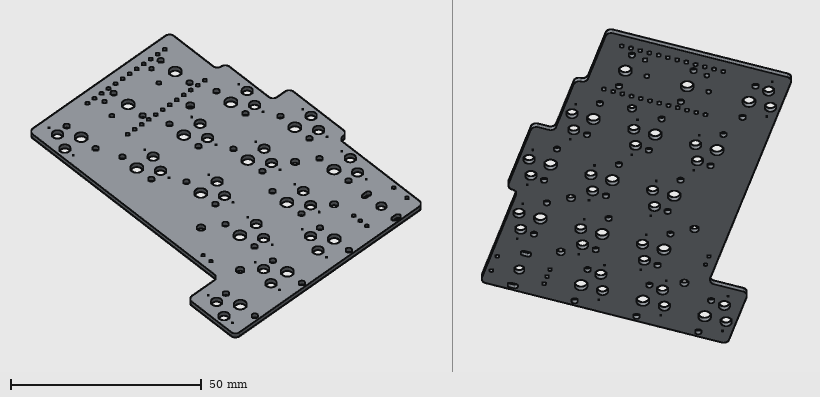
import cadquery as cq
import math


THICKNESS = 1.6
CORNER_RADIUS = 1.5
TOLERANCE = 1e-6

COLUMNS = 5
ROWS = 3
COLUMN_PITCH = 18.0
ROW_PITCH = 17.0
HALF_ROW = ROW_PITCH / 2
NARROW_MARGIN = 7.0
WIDE_MARGIN = 11.0
COLUMN_X = [WIDE_MARGIN + i * COLUMN_PITCH for i in range(COLUMNS)]
BOTTOM_ROW_Y = [19.5, 22.5, 28.5, 25.5, HALF_ROW]
TOP_ROW_Y = [y + (ROWS - 1) * ROW_PITCH for y in BOTTOM_ROW_Y]
ENCODER_CENTRE = (COLUMN_X[-1], BOTTOM_ROW_Y[-1] + ROWS * ROW_PITCH)
TOP_ROW_Y[-1] = ENCODER_CENTRE[1]

STEM_DIAMETER = 3.43
POST_DIAMETER = 1.7
POST_OFFSET = 5.5
PIN_OFFSETS = [(0, 5.9), (5.0, 3.8)]
SOCKET_PIN_DIAMETER = 3.0
SOLDER_PIN_DIAMETER = 1.27
VIA_DIAMETER = 0.3
VIA_OFFSETS = [(-3.275, 5.95), (8.275, 3.75)]

ENCODER_CENTRE_DIAMETER = 2.7
ENCODER_SLOT_OFFSET = 5.6
ENCODER_SLOT_WIDTH = 1.5
ENCODER_SLOT_LENGTH = 2.8
ENCODER_PIN_DIAMETER = 1.0
ENCODER_PIN_PITCH = 2.5
ENCODER_SWITCH_PIN_Y = 6.88
ENCODER_SIGNAL_PIN_Y = -7.62

HEADER_PIN_DIAMETER = 1.09
HEADER_PIN_PITCH = 2.54
HEADER_PINS_PER_ROW = 12
HEADER_ROW_SPACING = 15.24
HEADER_CENTRE = (COLUMN_X[0], 43.0)

RESET_PIN_DIAMETER = 0.9
RESET_PIN_SPACING = 2.9
RESET_CENTRE = (COLUMN_X[3], 13.6)

MOUNT_DIAMETER = 2.2
LEFT_MOUNT_INSET = 6.5
MOUNT_POINTS = [
    (COLUMN_X[1] - LEFT_MOUNT_INSET, TOP_ROW_Y[1] - HALF_ROW),
    (COLUMN_X[2] + COLUMN_PITCH / 2, TOP_ROW_Y[2] - HALF_ROW),
    (COLUMN_X[2] + COLUMN_PITCH / 2, BOTTOM_ROW_Y[2] - HALF_ROW),
    (COLUMN_X[3] + COLUMN_PITCH / 2, TOP_ROW_Y[3] - HALF_ROW),
    (COLUMN_X[3] + COLUMN_PITCH / 2, BOTTOM_ROW_Y[3] - HALF_ROW),
]


def rounded_outline(corners):
    """Closed wire through right-angled corners, each replaced by a tangent arc."""
    mid_arc = CORNER_RADIUS * (1 - math.sqrt(0.5))
    arcs = []
    for i, corner in enumerate(corners):
        before = cq.Vector(*corners[i - 1])
        after = cq.Vector(*corners[(i + 1) % len(corners)])
        corner = cq.Vector(*corner)
        back = (before - corner).normalized()
        ahead = (after - corner).normalized()
        start = corner + back * CORNER_RADIUS
        middle = corner + (back + ahead) * mid_arc
        end = corner + ahead * CORNER_RADIUS
        arcs.append((start, middle, end))

    wire = cq.Workplane("XY").moveTo(arcs[-1][2].x, arcs[-1][2].y)
    previous_end = arcs[-1][2]
    for start, middle, end in arcs:
        if (start - previous_end).Length > TOLERANCE:
            wire = wire.lineTo(start.x, start.y)
        wire = wire.threePointArc((middle.x, middle.y), (end.x, end.y))
        previous_end = end
    return wire.close()


def make_plate():
    """Stepped plate that follows the column stagger, with every corner rounded."""
    top = [y + HALF_ROW for y in TOP_ROW_Y]
    left_bottom = BOTTOM_ROW_Y[0] - HALF_ROW
    tail_bottom = BOTTOM_ROW_Y[-1] - HALF_ROW
    left = COLUMN_X[0] - WIDE_MARGIN
    right = COLUMN_X[-1] + NARROW_MARGIN
    first_step = COLUMN_X[0] + NARROW_MARGIN
    second_step = COLUMN_X[1] + NARROW_MARGIN
    third_step = COLUMN_X[2] + WIDE_MARGIN
    tail_left = COLUMN_X[-1] - WIDE_MARGIN
    outline = [
        (left, left_bottom),
        (tail_left, left_bottom),
        (tail_left, tail_bottom),
        (right, tail_bottom),
        (right, top[3]),
        (third_step, top[3]),
        (third_step, top[2]),
        (second_step, top[2]),
        (second_step, top[1]),
        (first_step, top[1]),
        (first_step, top[0]),
        (left, top[0]),
    ]
    return rounded_outline(outline).extrude(THICKNESS)


def place(centre, offsets, turned=False):
    """Offsets moved to a centre, after a half turn about it when turned."""
    sign = -1 if turned else 1
    return [(centre[0] + sign * x, centre[1] + sign * y) for x, y in offsets]


def drill(body, points, diameter):
    """Cut round through holes at the points."""
    cutters = cq.Workplane("XY").pushPoints(points).circle(diameter / 2).extrude(THICKNESS)
    return body.cut(cutters)


def column_switches(column):
    """Switch centres of one column, from the bottom up."""
    return [(COLUMN_X[column], BOTTOM_ROW_Y[column] + row * ROW_PITCH) for row in range(ROWS)]


def cut_switches(body):
    """Switch holes; outer columns have their pins below the stem, inner columns above it."""
    soldered = column_switches(0)[1:]
    turned_socketed = column_switches(0)[:1] + column_switches(COLUMNS - 1)
    upright_socketed = column_switches(1) + column_switches(2) + column_switches(3)
    switches = soldered + turned_socketed + upright_socketed

    posts = []
    for centre in switches:
        posts += place(centre, [(-POST_OFFSET, 0), (POST_OFFSET, 0)])
    solder_pins = []
    for centre in soldered:
        solder_pins += place(centre, PIN_OFFSETS, turned=True)
    socket_pins = []
    vias = []
    for group, turned in [(turned_socketed, True), (upright_socketed, False)]:
        for centre in group:
            socket_pins += place(centre, PIN_OFFSETS, turned)
            vias += place(centre, VIA_OFFSETS, turned)

    body = drill(body, switches, STEM_DIAMETER)
    body = drill(body, posts, POST_DIAMETER)
    body = drill(body, solder_pins, SOLDER_PIN_DIAMETER)
    body = drill(body, socket_pins, SOCKET_PIN_DIAMETER)
    return drill(body, vias, VIA_DIAMETER)


def cut_encoder(body):
    """Centre hole, two upright lug slots and five pins."""
    slot_points = place(ENCODER_CENTRE, [(-ENCODER_SLOT_OFFSET, 0), (ENCODER_SLOT_OFFSET, 0)])
    slots = (
        cq.Workplane("XY")
        .pushPoints(slot_points)
        .slot2D(ENCODER_SLOT_LENGTH, ENCODER_SLOT_WIDTH, 90)
        .extrude(THICKNESS)
    )
    pin_offsets = [(side * ENCODER_PIN_PITCH, ENCODER_SWITCH_PIN_Y) for side in (-1, 1)]
    pin_offsets += [(side * ENCODER_PIN_PITCH, ENCODER_SIGNAL_PIN_Y) for side in (-1, 0, 1)]
    body = drill(body.cut(slots), [ENCODER_CENTRE], ENCODER_CENTRE_DIAMETER)
    return drill(body, place(ENCODER_CENTRE, pin_offsets), ENCODER_PIN_DIAMETER)


def cut_header(body):
    """Two rows of microcontroller pins, centred on the first column."""
    pins = (
        cq.Workplane("XY")
        .center(*HEADER_CENTRE)
        .rarray(HEADER_ROW_SPACING, HEADER_PIN_PITCH, 2, HEADER_PINS_PER_ROW)
        .circle(HEADER_PIN_DIAMETER / 2)
        .extrude(THICKNESS)
    )
    return body.cut(pins)


def cut_reset_button(body):
    """Pair of reset button pins beside the lower edge."""
    offsets = [(-RESET_PIN_SPACING / 2, 0), (RESET_PIN_SPACING / 2, 0)]
    return drill(body, place(RESET_CENTRE, offsets), RESET_PIN_DIAMETER)


board = make_plate()
board = cut_switches(board)
board = cut_encoder(board)
board = cut_header(board)
board = cut_reset_button(board)
result = drill(board, MOUNT_POINTS, MOUNT_DIAMETER)